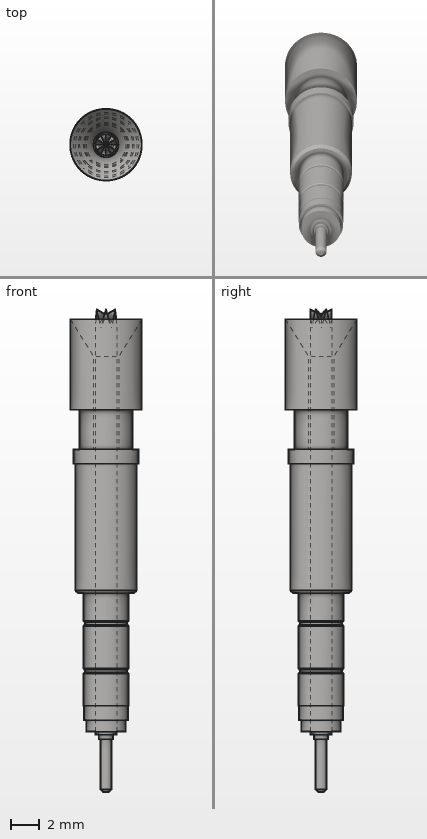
import cadquery as cq
import math


probe_length = 33.5
cup_rim_z = 32.83
cup_bottom_z = 26.53
flange_top_z = 23.8
flange_bottom_z = 22.78
shoulder_z = 13.8
lead_in_z = 6.0
nose_top_z = 5.0
nose_bottom_z = 4.2
rod_end_z = 4.0
tail_top_z = 3.65

cup_radius = 5.0 / 2
stem_radius = 1.85
flange_radius = 4.52 / 2
barrel_radius = 2.15
neck_radius = 1.57
lead_in_radius = 1.55
nose_radius = 1.37
rod_radius = 0.75
sleeve_bore_radius = 0.87
collar_radius = 0.5
tail_radius = 0.77 / 2

shoulder_chamfer = 0.2
tail_chamfer = 0.2

mouth_depth = 2.58

ring_groove_top_zs = (11.9, 8.58)
ring_groove_width = 0.37
ring_groove_depth = 0.1

tip_count = 6
crown_hub_depth = 0.37
crown_valley_depth = 1.25


def revolved(points):
    """Solid of revolution about Z from a closed (radius, height) outline."""
    return cq.Workplane("XZ").polyline(points).close().revolve(360, (0, 0, 0), (0, 1, 0))


def crown_groove():
    """V-shaped cutter along +X whose bottom falls from the crown hub to the rod surface."""
    half_pitch = math.pi / tip_count
    bottom_slope = (crown_valley_depth - crown_hub_depth) / rod_radius
    tip_rise = crown_hub_depth + bottom_slope * rod_radius * math.cos(half_pitch)
    flank_slope = tip_rise / (rod_radius * math.sin(half_pitch))

    cutter_length = 2 * rod_radius
    cutter_drop = bottom_slope * cutter_length
    cutter_height = crown_hub_depth + 2 * cutter_drop
    half_width = cutter_height / flank_slope
    hub_z = probe_length - crown_hub_depth
    top_z = hub_z + cutter_height
    section = cq.Wire.makePolygon(
        [
            cq.Vector(0, 0, hub_z),
            cq.Vector(0, half_width, top_z),
            cq.Vector(0, -half_width, top_z),
        ],
        close=True,
    )
    return cq.Solid.extrudeLinear(section, [], cq.Vector(cutter_length, 0, -cutter_drop))


def make_contact_pin():
    """Rod with a six-point crown on top and a collar and thin tail pin below."""
    pin = revolved(
        [
            (0, 0),
            (tail_radius - tail_chamfer, 0),
            (tail_radius, tail_chamfer),
            (tail_radius, tail_top_z),
            (collar_radius, tail_top_z),
            (collar_radius, rod_end_z),
            (rod_radius, rod_end_z),
            (rod_radius, probe_length),
            (0, probe_length),
        ]
    )
    groove = crown_groove()
    for index in range(tip_count):
        turn = index * 360 / tip_count
        pin = pin.cut(cq.Workplane(groove.rotate(cq.Vector(0, 0, 0), cq.Vector(0, 0, 1), turn)))
    return pin


def make_cup_sleeve():
    """Cup with a conical mouth on a stem that stands on the barrel flange."""
    return revolved(
        [
            (sleeve_bore_radius, flange_top_z),
            (stem_radius, flange_top_z),
            (stem_radius, cup_bottom_z),
            (cup_radius, cup_bottom_z),
            (cup_radius, cup_rim_z),
            (sleeve_bore_radius, cup_rim_z - mouth_depth),
        ]
    )


def ring_cutter(top_z):
    """Trapezoidal ring that cuts a groove into the barrel neck."""
    bottom_z = top_z - ring_groove_width
    floor_radius = neck_radius - ring_groove_depth
    return revolved(
        [
            (neck_radius, bottom_z),
            (neck_radius, top_z),
            (floor_radius, top_z - ring_groove_depth),
            (floor_radius, bottom_z + ring_groove_depth),
        ]
    )


def make_barrel():
    """Flanged barrel with a grooved neck and a stepped nose, bored for the contact pin."""
    barrel = revolved(
        [
            (rod_radius, nose_bottom_z),
            (nose_radius, nose_bottom_z),
            (nose_radius, nose_top_z),
            (lead_in_radius, nose_top_z),
            (lead_in_radius, lead_in_z),
            (neck_radius, lead_in_z),
            (neck_radius, shoulder_z),
            (barrel_radius - shoulder_chamfer, shoulder_z),
            (barrel_radius, shoulder_z + shoulder_chamfer),
            (barrel_radius, flange_bottom_z),
            (flange_radius, flange_bottom_z),
            (flange_radius, flange_top_z),
            (rod_radius, flange_top_z),
        ]
    )
    for top_z in ring_groove_top_zs:
        barrel = barrel.cut(ring_cutter(top_z))
    return barrel


contact_pin = make_contact_pin()
cup_sleeve = make_cup_sleeve()
barrel = make_barrel()

result = cq.Compound.makeCompound([contact_pin.val(), cup_sleeve.val(), barrel.val()])